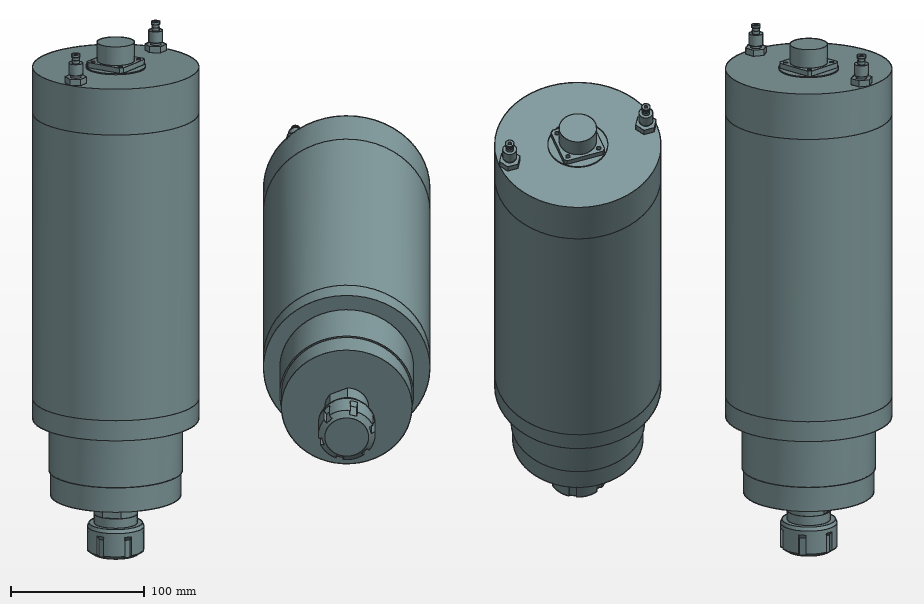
import cadquery as cq
import math

NUT_TOP = 24.0
FLATS_BOTTOM = 31.5
NOSE_BOTTOM = 46.0
NOSE_STEP = 65.0
FLANGE_BOTTOM = 105.5
HOUSING_BOTTOM = 121.0
CAP_BOTTOM = 343.7
CAP_TOP = 379.5
TOTAL_HEIGHT = 402.0

SPINDLE_TURN = 22.0

BODY_DIAMETER = 125.0
BODY_RADIUS = BODY_DIAMETER / 2

NOSE_RADIUS = 50.2
NOSE_END_RADIUS = 49.0

SHAFT_RADIUS = 16.5
COLLAR_STEP = 0.2
COLLAR_RADIUS = SHAFT_RADIUS - COLLAR_STEP
FLAT_DISTANCE = 15.0

NUT_RADIUS = 21.5
NUT_TOP_CHAMFER = 3.0
NUT_TOP_CHAMFER_DEPTH = 1.2
NUT_TIP_CHAMFER = 3.2
NUT_TIP_CHAMFER_DEPTH = 5.0
SLOT_COUNT = 6
SLOT_WIDTH = 5.5
SLOT_DEPTH = 3.0
SLOT_TOP = 18.0
SLOT_FLOOR_TOP = 15.0

GASKET_RADIUS = 22.5
GASKET_THICKNESS = 1.0
PLATE_SIDE = 32.5
PLATE_THICKNESS = 4.0
PLATE_CORNER_CHAMFER = 2.0
PLUG_RADIUS = 14.0
PLUG_TOP = 398.8
SCREW_HOLE_RADIUS = 1.5
SCREW_HOLE_SPACING = 24.5

FITTING_CENTRE = 54.3
HEX_SIDES = 6
HEX_ACROSS_FLATS = 14.0
HEX_HEIGHT = 5.0
NECK_HEIGHT = 2.0
NECK_RADIUS = 4.0
SLEEVE_RADIUS = 5.2
SLEEVE_HEIGHT = 9.0
STEM_RADIUS = 3.0
STEM_TOP = 397.5
WAIST_RADIUS = 2.6
TIP_RADIUS = 3.2
TIP_BOTTOM = 400.0
BORE_RADIUS = 1.2


def disc(radius, bottom, top):
    """Solid cylinder on the Z axis between two heights."""
    return cq.Workplane("XY").workplane(offset=bottom).circle(radius).extrude(top - bottom)


def make_nose():
    """Cylindrical nose with a slightly narrower end."""
    return disc(NOSE_RADIUS, NOSE_STEP, FLANGE_BOTTOM).union(disc(NOSE_END_RADIUS, NOSE_BOTTOM, NOSE_STEP))


def make_shaft():
    """Shaft with two opposite wrench flats above a plain collar."""
    flats_height = NOSE_BOTTOM - FLATS_BOTTOM
    slab = (
        cq.Workplane("XY")
        .workplane(offset=FLATS_BOTTOM)
        .rect(2 * SHAFT_RADIUS, 2 * FLAT_DISTANCE)
        .extrude(flats_height)
        .rotate((0, 0, 0), (0, 0, 1), SPINDLE_TURN)
    )
    flatted = disc(SHAFT_RADIUS, FLATS_BOTTOM, NOSE_BOTTOM).intersect(slab)
    return flatted.union(disc(COLLAR_RADIUS, NUT_TOP, FLATS_BOTTOM))


def make_collet_nut():
    """Round nut, chamfered at both ends, with wrench slots around its lower part."""
    nut = (
        cq.Workplane("XZ")
        .moveTo(0, 0)
        .lineTo(NUT_RADIUS - NUT_TIP_CHAMFER_DEPTH, 0)
        .lineTo(NUT_RADIUS, NUT_TIP_CHAMFER)
        .lineTo(NUT_RADIUS, NUT_TOP - NUT_TOP_CHAMFER)
        .lineTo(NUT_RADIUS - NUT_TOP_CHAMFER_DEPTH, NUT_TOP)
        .lineTo(0, NUT_TOP)
        .close()
        .revolve(360, (0, 0), (0, 1))
    )
    slope = (SLOT_TOP - SLOT_FLOOR_TOP) / SLOT_DEPTH
    slot_floor = NUT_RADIUS - SLOT_DEPTH
    slot_outside = NUT_RADIUS + SLOT_DEPTH
    slot = (
        cq.Workplane("YZ")
        .moveTo(slot_floor, 0)
        .lineTo(slot_outside, 0)
        .lineTo(slot_outside, SLOT_TOP + slope * SLOT_DEPTH)
        .lineTo(slot_floor, SLOT_FLOOR_TOP)
        .close()
        .extrude(SLOT_WIDTH / 2, both=True)
    )
    for i in range(SLOT_COUNT):
        nut = nut.cut(slot.rotate((0, 0, 0), (0, 0, 1), i * 360 / SLOT_COUNT))
    return nut


def make_connector():
    """Round plug on a square plate with chamfered corners and a screw hole in each."""
    plate_bottom = CAP_TOP + GASKET_THICKNESS
    plate_top = plate_bottom + PLATE_THICKNESS
    plate = (
        cq.Workplane("XY")
        .workplane(offset=plate_bottom)
        .rect(PLATE_SIDE, PLATE_SIDE)
        .extrude(PLATE_THICKNESS)
        .edges("|Z")
        .chamfer(PLATE_CORNER_CHAMFER)
        .faces(">Z")
        .workplane()
        .rect(SCREW_HOLE_SPACING, SCREW_HOLE_SPACING, forConstruction=True)
        .vertices()
        .hole(2 * SCREW_HOLE_RADIUS)
    )
    return plate.union(disc(PLUG_RADIUS, plate_top, PLUG_TOP))


def make_fitting(y):
    """Hose fitting: hexagon, neck, sleeve and a stepped tip with a bore, centred at the given Y."""
    hex_top = CAP_TOP + HEX_HEIGHT
    sleeve_bottom = hex_top + NECK_HEIGHT
    sleeve_top = sleeve_bottom + SLEEVE_HEIGHT
    hexagon = (
        cq.Workplane("XY")
        .workplane(offset=CAP_TOP)
        .polygon(HEX_SIDES, HEX_ACROSS_FLATS / math.cos(math.pi / HEX_SIDES))
        .extrude(HEX_HEIGHT)
        .rotate((0, 0, 0), (0, 0, 1), 90)
    )
    fitting = hexagon.union(disc(NECK_RADIUS, hex_top, sleeve_bottom))
    fitting = fitting.union(disc(SLEEVE_RADIUS, sleeve_bottom, sleeve_top))
    fitting = fitting.union(disc(STEM_RADIUS, sleeve_top, STEM_TOP))
    fitting = fitting.union(disc(WAIST_RADIUS, STEM_TOP, TIP_BOTTOM))
    fitting = fitting.union(disc(TIP_RADIUS, TIP_BOTTOM, TOTAL_HEIGHT))
    fitting = fitting.cut(disc(BORE_RADIUS, sleeve_top, TOTAL_HEIGHT))
    return fitting.translate((0, y, 0))


rear_cap = disc(BODY_RADIUS, CAP_BOTTOM, CAP_TOP)
housing = disc(BODY_RADIUS, HOUSING_BOTTOM, CAP_BOTTOM)
front_flange = disc(BODY_RADIUS, FLANGE_BOTTOM, HOUSING_BOTTOM)
nose = make_nose()
shaft = make_shaft()
collet_nut = make_collet_nut()
gasket = disc(GASKET_RADIUS, CAP_TOP, CAP_TOP + GASKET_THICKNESS)
connector = make_connector()
fittings = [make_fitting(side * FITTING_CENTRE) for side in (-1, 1)]

result = cq.Compound.makeCompound(
    [
        rear_cap.val(),
        housing.val(),
        front_flange.val(),
        nose.val(),
        shaft.val(),
        collet_nut.val(),
        gasket.val(),
        connector.val(),
        *[fitting.val() for fitting in fittings],
    ]
)